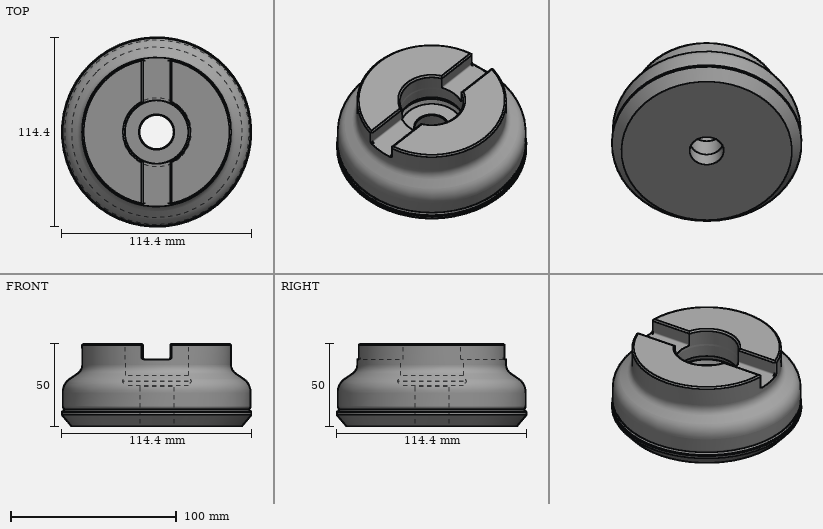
import cadquery as cq
import math

total_height = 50.0
ring_height = 10.4

ring_radius = 57.2
ring_face_radius = 51.4
rim_bottom = 6.5
rim_top = 9.3
rim_ledge_radius = 56.7
rim_corner_depth = 0.2
rim_bottom_corner_depth = 0.3
rim_corner_height = 0.6
groove_radius = 55.6

body_radius = 113.5 / 2
body_edge_top = 12.4
body_edge_bottom = 11.0
shoulder_bottom = 20.6
hub_radius = 90.0 / 2
neck_top = 37.2
shoulder_round = 9.8
neck_round = 6.3
hub_chamfer = 1.0

mouth_radius = 38.3 / 2
mouth_chamfer = 1.1
bore_radius = 38.1 / 2
step_drop = 0.7
bore_taper = 1.3
groove_top = 31.0
groove_depth = 1.7
groove_upper_height = 3.4
groove_land = 0.3
groove_lower_height = 2.4
bore_floor = groove_top - groove_upper_height - groove_land - groove_lower_height
hole_radius = 20.5 / 2
hole_chamfer = 0.5

slot_width = 16.3
slot_floor = 40.4
slot_top_chamfer = 1.0
slot_end_round = 1.0
slot_corner = 1.0


def revolve_about_z(outline):
    return outline.revolve(360, (0, 0, 0), (0, 1, 0))


def revolve_profile(points):
    return revolve_about_z(cq.Workplane("XZ").polyline(points).close())


def shoulder_tangents():
    """Shoulder and neck arc centers, and the direction of the normal to their shared tangent."""
    shoulder_x = body_radius - shoulder_round
    neck_x = hub_radius + neck_round
    run = neck_x - shoulder_x
    rise = neck_top - shoulder_bottom
    distance = math.hypot(run, rise)
    angle = math.atan2(rise, run) - math.acos((shoulder_round + neck_round) / distance)
    return shoulder_x, neck_x, angle


def polar(center_x, center_y, radius, angle):
    """Point on a circle in the coordinates of the sketch plane."""
    return (center_x + radius * math.cos(angle), center_y + radius * math.sin(angle))


def revolved_blank():
    shoulder_x, neck_x, angle = shoulder_tangents()
    flank_angle = math.radians(45)
    edge_round = (body_edge_top - body_edge_bottom) / math.sin(flank_angle)
    edge_x = body_radius - edge_round
    outline = (
        cq.Workplane("XZ")
        .moveTo(0, ring_height)
        .lineTo(groove_radius, ring_height)
        .lineTo(*polar(edge_x, body_edge_top, edge_round, -flank_angle))
        .threePointArc(
            polar(edge_x, body_edge_top, edge_round, -flank_angle / 2),
            (body_radius, body_edge_top),
        )
        .lineTo(body_radius, shoulder_bottom)
        .threePointArc(
            polar(shoulder_x, shoulder_bottom, shoulder_round, angle / 2),
            polar(shoulder_x, shoulder_bottom, shoulder_round, angle),
        )
        .lineTo(*polar(neck_x, neck_top, neck_round, math.pi + angle))
        .threePointArc(
            polar(neck_x, neck_top, neck_round, math.pi + angle / 2),
            (hub_radius, neck_top),
        )
        .lineTo(hub_radius, total_height - hub_chamfer)
        .lineTo(hub_radius - hub_chamfer, total_height)
        .lineTo(0, total_height)
        .close()
    )
    return revolve_about_z(outline)


def bore():
    step_top = slot_floor - step_drop
    undercut_radius = bore_radius + groove_depth
    profile = [
        (0, 0),
        (hole_radius, 0),
        (hole_radius, bore_floor - hole_chamfer),
        (hole_radius + hole_chamfer, bore_floor),
        (bore_radius, bore_floor),
        (undercut_radius, bore_floor + groove_lower_height),
        (undercut_radius, groove_top - groove_upper_height),
        (bore_radius, groove_top),
        (bore_radius, step_top - bore_taper),
        (mouth_radius, step_top),
        (mouth_radius, total_height - mouth_chamfer),
        (mouth_radius + mouth_chamfer, total_height),
        (0, total_height),
    ]
    return revolve_profile(profile)


def slot_cutter():
    """Straight slot along Y with rounded floor corners."""
    return (
        cq.Workplane("XY")
        .workplane(offset=slot_floor)
        .rect(slot_width, 2 * ring_radius)
        .extrude(total_height - slot_floor)
        .edges("|Y and <Z")
        .fillet(slot_corner)
    )


def slot_top_flare():
    """Chamfers along the two upper slot edges."""
    half = slot_width / 2
    mouth = half + slot_top_chamfer
    start = total_height - slot_top_chamfer
    return (
        cq.Workplane("XZ")
        .polyline([(-half, start), (half, start), (mouth, total_height), (-mouth, total_height)])
        .close()
        .extrude(ring_radius, both=True)
    )


def slot_end_flares():
    """Rounding on the upright edges where the slot leaves the hub."""
    half = slot_width / 2
    mouth = half + slot_end_round
    edge = math.sqrt(hub_radius**2 - mouth**2)
    start = edge - slot_end_round
    flare = (
        cq.Workplane("XY")
        .workplane(offset=slot_floor)
        .moveTo(-half, start)
        .lineTo(half, start)
        .threePointArc(polar(mouth, start, slot_end_round, 3 * math.pi / 4), (mouth, edge))
        .lineTo(mouth, hub_radius)
        .lineTo(-mouth, hub_radius)
        .lineTo(-mouth, edge)
        .threePointArc(polar(-mouth, start, slot_end_round, math.pi / 4), (-half, start))
        .close()
        .extrude(total_height - slot_floor)
        .edges("|Y and <Z")
        .chamfer(slot_corner)
    )
    return flare.union(flare.mirror("XZ"))


def make_cutter_body():
    drive_slot = slot_cutter().union(slot_top_flare()).union(slot_end_flares())
    return revolved_blank().cut(bore()).cut(drive_slot)


def make_cutting_ring():
    profile = [
        (hole_radius, 0),
        (ring_face_radius, 0),
        (ring_radius - rim_bottom_corner_depth, rim_bottom),
        (ring_radius, rim_bottom + rim_corner_height),
        (ring_radius, rim_top - rim_corner_height),
        (ring_radius - rim_corner_depth, rim_top),
        (rim_ledge_radius, rim_top),
        (groove_radius, ring_height),
        (hole_radius, ring_height),
    ]
    return revolve_profile(profile)


cutter_body = make_cutter_body()
cutting_ring = make_cutting_ring()
result = cq.Compound.makeCompound([cutter_body.val(), cutting_ring.val()])